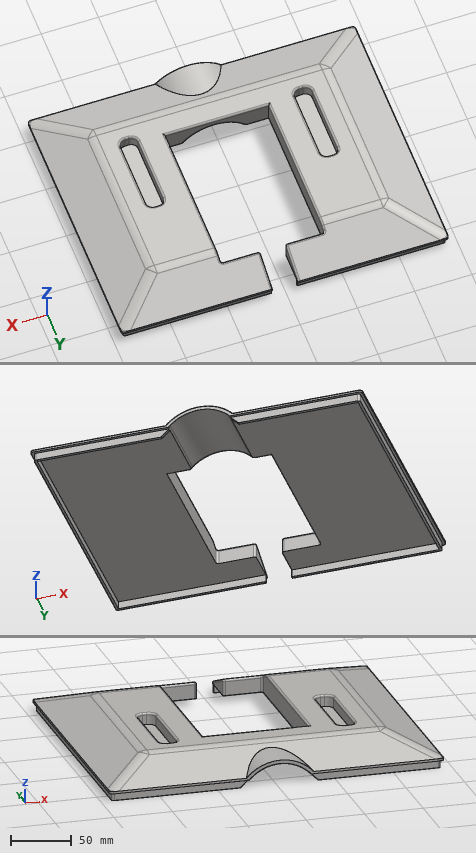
import cadquery as cq
import math

length = 285.8
width = 228.5
height = 25.5
rim_top = 9.0
rim_thickness = 2.0
rim_bottom = rim_top - rim_thickness
slope_run = 40.3
slope_rise = height - rim_top
rim_corner_radius = 3.0
slope_blend_radius = 20.0

skirt_inset = 2.3
skirt_thickness = 2.3
skirt_corner_radius = 2.0

window_length = 90.3
window_front = -51.5
window_back = 83.0
gap_width = 22.3
opening_corner_radius = 2.0
edge_round = 1.7

slot_offset = 76.0
slot_center_y = -22.5
slot_width = 15.5
slot_length = 72.5
slot_corner_radius = 6.0
slot_depth = 10.0

arch_x = 2.5
arch_top = 21.7
arch_outer_radius = 38.5
arch_thickness = 3.1
arch_axis_z = arch_top - arch_outer_radius

margin = 0.3


def block(size_x, size_y, bottom, top):
    return cq.Workplane("XY", origin=(0, 0, bottom)).rect(size_x, size_y).extrude(top - bottom)


def sloped_plate():
    """Rim with four slopes rising to the flat top, their ridges and top edges rounded."""
    slope_taper = math.degrees(math.atan(slope_run / slope_rise))
    slopes = (
        cq.Workplane("XY", origin=(0, 0, rim_top))
        .rect(length, width)
        .extrude(slope_rise, taper=slope_taper)
    )
    above_foot = cq.selectors.BoxSelector(
        (-length, -width, rim_top + margin), (length, width, height + margin)
    )
    slopes = slopes.edges(above_foot).fillet(slope_blend_radius)
    rim = block(length, width, rim_bottom, rim_top)
    outline = block(length, width, rim_bottom, height).edges("|Z").fillet(rim_corner_radius)
    return rim.union(slopes).intersect(outline)


def skirt():
    outer_length = length - 2 * skirt_inset
    outer_width = width - 2 * skirt_inset
    inner_length = outer_length - 2 * skirt_thickness
    inner_width = outer_width - 2 * skirt_thickness
    outer = block(outer_length, outer_width, 0, rim_bottom).edges("|Z").fillet(skirt_corner_radius)
    return outer.cut(block(inner_length, inner_width, 0, rim_bottom))


def arch(radius, bottom):
    """Solid arch running from the front face back to the window."""
    front = -width / 2
    spring_x = radius * math.sin(math.pi / 4)
    spring_z = arch_axis_z + radius * math.cos(math.pi / 4)
    foot_x = spring_x + spring_z - bottom
    return (
        cq.Workplane("XZ", origin=(arch_x, front, 0))
        .moveTo(-foot_x, bottom)
        .lineTo(-spring_x, spring_z)
        .threePointArc((0, arch_axis_z + radius), (spring_x, spring_z))
        .lineTo(foot_x, bottom)
        .close()
        .extrude(front - window_front)
    )


def opening():
    """Window and gap as one cutter with rounded upright corners."""
    back = width / 2
    window = block(window_length, window_back - window_front, 0, height)
    window = window.translate((0, (window_front + window_back) / 2, 0))
    gap = block(gap_width, back - window_front, 0, height)
    gap = gap.translate((0, (window_front + back) / 2, 0))
    back_corners = cq.selectors.BoxSelector(
        (-length, window_back - margin, -margin), (length, window_back + margin, height + margin)
    )
    return window.union(gap).edges(back_corners).edges("|Z").fillet(opening_corner_radius)


def round_opening_edges(body):
    """Round the upper edges of the window and the gap."""
    reach = window_length / 2 + margin
    around_opening = cq.selectors.BoxSelector(
        (-reach, window_front - margin, rim_top), (reach, width, height + margin)
    )
    return body.edges(around_opening).edges("not |Z").fillet(edge_round)


def cut_slot(body, x):
    """Cut a blind slot along Y and round its mouth."""
    slot = block(slot_width, slot_length, height - slot_depth, height)
    slot = slot.edges("|Z").fillet(slot_corner_radius).translate((x, slot_center_y, 0))
    mouth = cq.selectors.BoxSelector(
        (x - slot_width, slot_center_y - slot_length, height - margin),
        (x + slot_width, slot_center_y + slot_length, height + margin),
    )
    return body.cut(slot).edges(mouth).fillet(edge_round)


body = sloped_plate().union(arch(arch_outer_radius, rim_bottom)).union(skirt())
body = body.cut(arch(arch_outer_radius - arch_thickness, 0))
body = round_opening_edges(body.cut(opening()))
for side in (-1, 1):
    body = cut_slot(body, side * slot_offset)

result = body